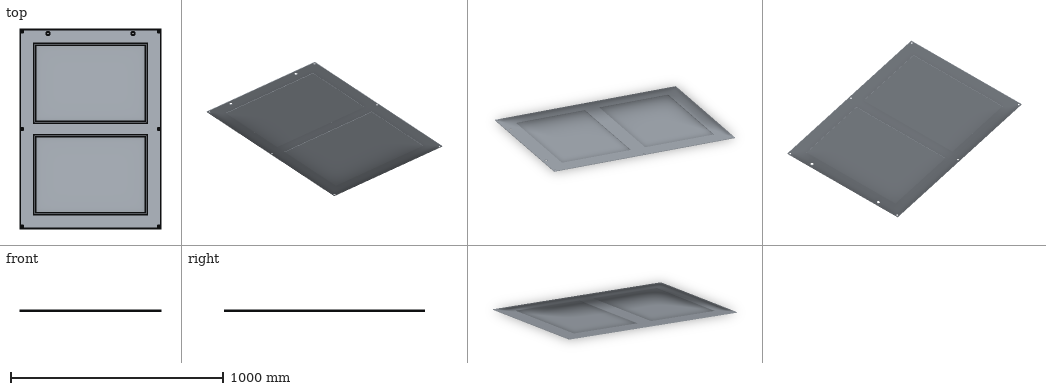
import cadquery as cq

frame_width = 665
frame_length = 940
frame_thickness = 3.2

window_count = 2
window_margin = 75
window_width = frame_width - 2 * window_margin
window_length = (frame_length - (window_count + 1) * window_margin) / window_count
window_y = (window_length + window_margin) / 2
window_centers = [(0, -window_y), (0, window_y)]

pane_overlap = 10
pane_thickness = 1.6
pane_width = window_width + 2 * pane_overlap
pane_length = window_length + 2 * pane_overlap

pane_bottom = 0
frame_bottom = pane_bottom + pane_thickness

fixing_hole_diameter = 10
fixing_hole_inset = 10
fixing_hole_x = frame_width / 2 - fixing_hole_inset
fixing_hole_y = frame_length / 2 - fixing_hole_inset
fixing_points = [(x, y) for x in (-fixing_hole_x, fixing_hole_x) for y in (-fixing_hole_y, 0, fixing_hole_y)]

hanging_hole_diameter = 15
hanging_hole_spacing = 400
hanging_hole_inset = 20
hanging_hole_x = hanging_hole_spacing / 2
hanging_hole_y = frame_length / 2 - hanging_hole_inset
hanging_points = [(-hanging_hole_x, hanging_hole_y), (hanging_hole_x, hanging_hole_y)]


def make_frame():
    """Plate with two window openings, fixing holes and hanging holes."""
    base = cq.Workplane("XY", origin=(0, 0, frame_bottom))
    plate = base.rect(frame_width, frame_length).extrude(frame_thickness)
    windows = base.pushPoints(window_centers).rect(window_width, window_length).extrude(frame_thickness)
    fixing_holes = base.pushPoints(fixing_points).circle(fixing_hole_diameter / 2).extrude(frame_thickness)
    hanging_holes = base.pushPoints(hanging_points).circle(hanging_hole_diameter / 2).extrude(frame_thickness)
    return plate.cut(windows).cut(fixing_holes).cut(hanging_holes)


def make_pane(center):
    """Flat rectangular pane centred behind one window."""
    base = cq.Workplane("XY", origin=(0, 0, pane_bottom))
    return base.center(*center).rect(pane_width, pane_length).extrude(pane_thickness)


frame = make_frame()
panes = [make_pane(center) for center in window_centers]

result = cq.Compound.makeCompound([frame.val(), *[pane.val() for pane in panes]])